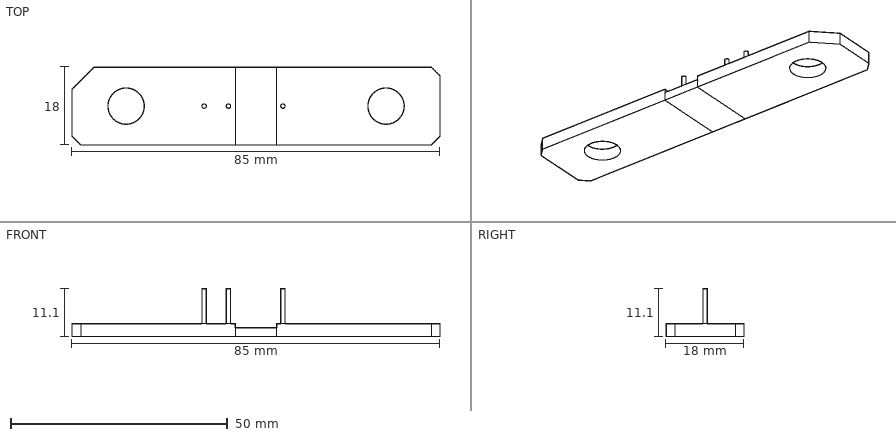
import cadquery as cq

length = 85.0
width = 18.0
plate_thickness = 3.0
large_chamfer = 5.1
small_chamfer = 2.0

strip_length = 9.5
strip_thickness = 2.0

hole_diameter = 8.3
hole_spacing = 60.0

pin_diameter = 1.0
pin_height = 8.1
pin_positions = [-12.0, -6.4, 6.2]

half_length = length / 2
half_strip = strip_length / 2
plate_length = half_length - half_strip


def make_plate(side, back_chamfer):
    """End plate on the -X (side = -1) or +X (side = 1) end, with its mounting hole."""
    outer_edge = "<X" if side < 0 else ">X"
    plate_centre = side * (half_strip + plate_length / 2)
    hole_centre = side * hole_spacing / 2
    plate = (
        cq.Workplane("XY")
        .center(plate_centre, 0)
        .box(plate_length, width, plate_thickness, centered=(True, True, False))
    )
    plate = plate.faces(outer_edge).edges("|Z and <Y").chamfer(small_chamfer)
    plate = plate.faces(outer_edge).edges("|Z and >Y").chamfer(back_chamfer)
    hole = (
        cq.Workplane("XY")
        .center(hole_centre, 0)
        .circle(hole_diameter / 2)
        .extrude(plate_thickness)
    )
    return plate.cut(hole)


def make_strip():
    """Thin strip between the plates, flush with their undersides."""
    return cq.Workplane("XY").box(strip_length, width, strip_thickness, centered=(True, True, False))


def make_pin(x):
    """Round pin standing on a plate's top face."""
    return (
        cq.Workplane("XY", origin=(x, 0, plate_thickness))
        .circle(pin_diameter / 2)
        .extrude(pin_height)
    )


left_plate = make_plate(-1, large_chamfer)
right_plate = make_plate(1, small_chamfer)
strip = make_strip()
pins = [make_pin(x).val() for x in pin_positions]

result = cq.Compound.makeCompound([left_plate.val(), right_plate.val(), strip.val(), *pins])